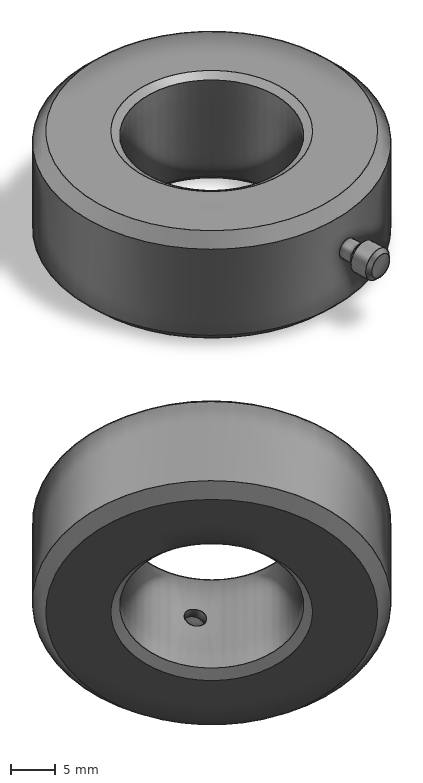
import cadquery as cq
import math

RING_DIAMETER = 40.0
RING_HEIGHT = 15.0
BORE_DIAMETER = 20.5
OUTER_CHAMFER = 1.5
BORE_CHAMFER_WIDTH = 1.0
TOP_BORE_CHAMFER_DEPTH = 0.6
BOTTOM_BORE_CHAMFER_DEPTH = 1.0

SCREW_HEIGHT = 1.0
SHANK_DIAMETER = 2.5
HEAD_DIAMETER = 4.0
HEAD_LENGTH = 3.15
HEAD_CHAMFER = 0.5
TIP_RECESS = 1.2

TOTAL_LENGTH = 45.0
ring_radius = RING_DIAMETER / 2
bore_radius = BORE_DIAMETER / 2
bore_mouth_diameter = BORE_DIAMETER + 2 * BORE_CHAMFER_WIDTH
screw_end_x = TOTAL_LENGTH - ring_radius
head_start_x = screw_end_x - HEAD_LENGTH
tip_x = bore_radius + TIP_RECESS


def radial_cylinder(diameter, start_x, end_x):
    """Cylinder on the screw axis between two X positions."""
    return (
        cq.Workplane("YZ", origin=(start_x, 0, SCREW_HEIGHT))
        .circle(diameter / 2)
        .extrude(end_x - start_x)
    )


def countersink_angle(depth):
    """Full cone angle of a bore chamfer of the given depth."""
    return 2 * math.degrees(math.atan(BORE_CHAMFER_WIDTH / depth))


def make_ring():
    """Chamfered ring with a radial screw hole through its +X wall."""
    outer = (
        cq.Workplane("XY")
        .circle(ring_radius)
        .extrude(RING_HEIGHT / 2, both=True)
        .edges()
        .chamfer(OUTER_CHAMFER)
    )
    bored = outer.faces(">Z").workplane().cskHole(
        BORE_DIAMETER, bore_mouth_diameter, countersink_angle(TOP_BORE_CHAMFER_DEPTH)
    )
    chamfered = bored.faces("<Z").workplane().cskHole(
        BORE_DIAMETER, bore_mouth_diameter, countersink_angle(BOTTOM_BORE_CHAMFER_DEPTH)
    )
    return chamfered.cut(radial_cylinder(SHANK_DIAMETER, 0, screw_end_x))


def make_screw():
    """Plain shank filling the radial hole, with a chamfered head outside."""
    head = (
        radial_cylinder(HEAD_DIAMETER, head_start_x, screw_end_x)
        .edges("%CIRCLE")
        .chamfer(HEAD_CHAMFER)
    )
    shank = radial_cylinder(SHANK_DIAMETER, tip_x, head_start_x)
    return head.union(shank)


ring = make_ring()
screw = make_screw()

result = cq.Compound.makeCompound([ring.val(), screw.val()])